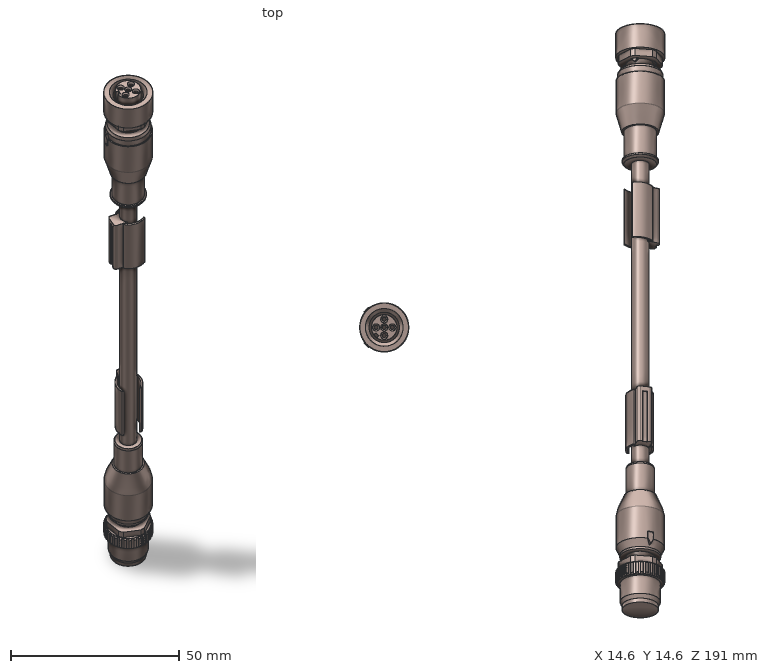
import cadquery as cq
import math

TOTAL_LENGTH = 191.0
COUPLING_R = 7.3
GRIP_R = 7.2
CABLE_R = 2.6
HEX_FLATS = 12.1
HEX_CORNER_R = 6.6
NECK_R = 4.3
OVERLAP = 0.2

NUT_TOP = 189.85
NUT_BOTTOM = 182.1
FEMALE_HEX_BOTTOM = 179.8
FEMALE_GRIP_TOP = 177.2
FEMALE_STEP = 174.3
FEMALE_CONE_TOP = 163.7
FEMALE_CONE_BOTTOM = 157.6
FEMALE_FLANGE = 148.2
FEMALE_END = 147.0
FEMALE_SLEEVE_R = 4.9
FEMALE_CONE_R = 5.5
FLANGE_R = 5.4
FLANGE_THICKNESS = 0.5
SHOULDER_R = 6.3
STEP_R = 6.8
SHOULDER_HEIGHT = 0.9

BORE_TOP_R = 5.6
BORE_R = 4.5
BORE_CHAMFER = 1.2
BORE_DEPTH = 6.5
INSERT_R = 3.8
CONTACT_CIRCLE_R = 2.4
CONTACT_R = 0.6
CONTACT_MOUTH_R = 1.05
CONTACT_DEPTH = 5.0
OUTER_CONTACTS = 4
KEY_WIDTH = 1.2
KEY_DEPTH = 0.9

MALE_END = 47.0
MALE_SLEEVE_BOTTOM = 37.4
MALE_CONE_BOTTOM = 30.8
MALE_GRIP_BOTTOM = 20.4
MALE_SHOULDER = 17.3
MALE_HEX_TOP = 15.0
RING_TOP = 12.8
RING_BOTTOM = 8.6
THREAD_END = 2.6
TIP_HEIGHT = 1.3
MALE_SLEEVE_R = 4.3
MALE_SLEEVE_CHAMFER = 0.6
MALE_CONE_R = 4.8
MALE_CONE_BULGE = 0.35
MALE_SHOULDER_R = 6.1
MALE_SHOULDER_LAND = 0.7
THREAD_R = 6.0
THREAD_TIP_R = 5.4
RING_CHAMFER = 0.5
KNURL_COUNT = 30
KNURL_DEPTH = 0.5

LUG_COUNT = 4
LUG_R = 4.9
LUG_WIDTH = 2.2
LUG_HEIGHT = 1.1

ARROW_WIDTH = 1.8
ARROW_HEIGHT = 4.0
ARROW_HEAD = 1.6
ARROW_R = 7.5
UPPER_ARROW_BASE = 171.7
LOWER_ARROW_BASE = 22.6

CLIP_LENGTH = 18.0
UPPER_CLIP_Z = 121.0
LOWER_CLIP_Z = 53.1
CLIP_REACH = 5.6
CLIP_BLOCK_WIDTH = 4.5
CLIP_CORNER_R = 0.8
CLIP_GROOVE_WIDTH = 1.4
CLIP_GROOVE_DEPTH = 0.4
CLIP_GROOVE_START = 1.5
WING_THICKNESS = 0.6
WING_ROOT = (2.9, 2.7)
WING_MIDDLE = (-0.4, 4.1)
WING_TIP = (-4.0, 3.0)

UPPER_SIDE = 225
LOWER_SIDE = 135
LOWER_CLIP_TURN = -10


def cylinder(radius, bottom, top):
    return cq.Workplane("XY").workplane(offset=bottom).circle(radius).extrude(top - bottom)


def revolve_z(outline):
    """Revolve a closed XZ outline a full turn about Z."""
    return outline.close().revolve(360, (0, 0, 0), (0, 1, 0))


def trimmed_hexagon(bottom, top):
    corner_diameter = HEX_FLATS / math.cos(math.pi / 6)
    hexagon = (
        cq.Workplane("XY").workplane(offset=bottom)
        .polygon(6, corner_diameter).extrude(top - bottom)
        .rotate((0, 0, 0), (0, 0, 1), 30)
    )
    return hexagon.intersect(cylinder(HEX_CORNER_R, bottom, top))


def make_female_grip():
    flange_bottom = FEMALE_FLANGE - FLANGE_THICKNESS
    profile = (
        cq.Workplane("XZ").moveTo(0, FEMALE_END)
        .lineTo(FEMALE_SLEEVE_R, FEMALE_END)
        .lineTo(FLANGE_R, flange_bottom)
        .lineTo(FLANGE_R, FEMALE_FLANGE)
        .lineTo(FEMALE_SLEEVE_R, FEMALE_FLANGE)
        .lineTo(FEMALE_SLEEVE_R, FEMALE_CONE_BOTTOM)
        .lineTo(FEMALE_CONE_R, FEMALE_CONE_BOTTOM)
        .lineTo(GRIP_R, FEMALE_CONE_TOP)
        .lineTo(GRIP_R, FEMALE_STEP)
        .lineTo(STEP_R, FEMALE_STEP)
        .lineTo(STEP_R, FEMALE_GRIP_TOP - SHOULDER_HEIGHT)
        .lineTo(SHOULDER_R, FEMALE_GRIP_TOP)
        .lineTo(0, FEMALE_GRIP_TOP)
    )
    return revolve_z(profile)


def make_contact_hole():
    mouth_depth = CONTACT_MOUTH_R - CONTACT_R
    floor = TOTAL_LENGTH - CONTACT_DEPTH
    return revolve_z(
        cq.Workplane("XZ").moveTo(0, floor)
        .lineTo(CONTACT_R, floor)
        .lineTo(CONTACT_R, TOTAL_LENGTH - mouth_depth)
        .lineTo(CONTACT_MOUTH_R, TOTAL_LENGTH)
        .lineTo(0, TOTAL_LENGTH)
    )


def make_socket():
    """Nut with its open bore, contact insert, hexagon and neck."""
    floor = NUT_TOP - BORE_DEPTH
    bore = revolve_z(
        cq.Workplane("XZ").moveTo(0, floor)
        .lineTo(BORE_R, floor)
        .lineTo(BORE_R, NUT_TOP - BORE_CHAMFER)
        .lineTo(BORE_TOP_R, NUT_TOP)
        .lineTo(0, NUT_TOP)
    )
    insert = cylinder(INSERT_R, floor - OVERLAP, TOTAL_LENGTH)
    contact = make_contact_hole()
    contacts = contact
    for i in range(OUTER_CONTACTS):
        outer_contact = contact.translate((CONTACT_CIRCLE_R, 0, 0))
        contacts = contacts.union(outer_contact.rotate((0, 0, 0), (0, 0, 1), i * 360 / OUTER_CONTACTS))
    key = (
        cq.Workplane("XY").box(2 * KEY_DEPTH, KEY_WIDTH, CONTACT_DEPTH)
        .translate((INSERT_R, 0, TOTAL_LENGTH - CONTACT_DEPTH / 2))
        .rotate((0, 0, 0), (0, 0, 1), UPPER_SIDE)
    )
    body = cylinder(COUPLING_R, NUT_BOTTOM, NUT_TOP).cut(bore)
    body = body.union(insert.cut(contacts).cut(key))
    body = body.union(trimmed_hexagon(FEMALE_HEX_BOTTOM, NUT_BOTTOM))
    return body.union(cylinder(NECK_R, FEMALE_GRIP_TOP, FEMALE_HEX_BOTTOM))


def make_lugs():
    """V-shaped lugs that hang below the female hexagon around the neck."""
    lugs = cq.Workplane("XY")
    for i in range(LUG_COUNT):
        lug = (
            cq.Workplane("YZ")
            .moveTo(-LUG_WIDTH / 2, FEMALE_HEX_BOTTOM)
            .lineTo(LUG_WIDTH / 2, FEMALE_HEX_BOTTOM)
            .lineTo(0, FEMALE_HEX_BOTTOM - LUG_HEIGHT)
            .close().extrude(LUG_R)
        )
        lugs = lugs.add(lug.rotate((0, 0, 0), (0, 0, 1), i * 360 / LUG_COUNT))
    return lugs.combine()


def make_male_grip():
    cone_middle_r = (MALE_CONE_R + GRIP_R) / 2 + MALE_CONE_BULGE
    cone_middle_z = (MALE_SLEEVE_BOTTOM + MALE_CONE_BOTTOM) / 2
    profile = (
        cq.Workplane("XZ").moveTo(0, MALE_END)
        .lineTo(MALE_SLEEVE_R - MALE_SLEEVE_CHAMFER / 2, MALE_END)
        .lineTo(MALE_SLEEVE_R, MALE_END - MALE_SLEEVE_CHAMFER)
        .lineTo(MALE_SLEEVE_R, MALE_SLEEVE_BOTTOM)
        .lineTo(MALE_CONE_R, MALE_SLEEVE_BOTTOM)
        .threePointArc((cone_middle_r, cone_middle_z), (GRIP_R, MALE_CONE_BOTTOM))
        .lineTo(GRIP_R, MALE_GRIP_BOTTOM)
        .lineTo(MALE_SHOULDER_R, MALE_SHOULDER + MALE_SHOULDER_LAND)
        .lineTo(MALE_SHOULDER_R, MALE_SHOULDER)
        .lineTo(0, MALE_SHOULDER)
    )
    return revolve_z(profile)


def make_plug():
    """Neck, hexagon, knurled ring and threaded end of the male connector."""
    thread = revolve_z(
        cq.Workplane("XZ").lineTo(THREAD_TIP_R, 0)
        .lineTo(THREAD_TIP_R, TIP_HEIGHT)
        .lineTo(THREAD_R, THREAD_END)
        .lineTo(THREAD_R, RING_BOTTOM)
        .lineTo(0, RING_BOTTOM)
    )
    ring = cylinder(COUPLING_R, RING_BOTTOM, RING_TOP).faces("<Z or >Z").chamfer(RING_CHAMFER)
    groove_side = KNURL_DEPTH * math.sqrt(2)
    grooves = (
        cq.Workplane("XY").workplane(offset=RING_BOTTOM)
        .polarArray(COUPLING_R, 0, 360, KNURL_COUNT)
        .rect(groove_side, groove_side).extrude(RING_TOP - RING_BOTTOM)
    )
    neck = cylinder(NECK_R, MALE_HEX_TOP, MALE_SHOULDER)
    body = thread.union(ring.cut(grooves))
    return body.union(trimmed_hexagon(RING_TOP, MALE_HEX_TOP)).union(neck)


def make_arrow(base, direction, side):
    """Raised arrow on a grip; direction +1 points up, -1 points down."""
    neck_z = base + direction * (ARROW_HEIGHT - ARROW_HEAD)
    tip_z = base + direction * ARROW_HEIGHT
    half_width = ARROW_WIDTH / 2
    arrow = (
        cq.Workplane("YZ")
        .moveTo(-half_width, base).lineTo(half_width, base)
        .lineTo(half_width, neck_z).lineTo(0, tip_z).lineTo(-half_width, neck_z)
        .close().extrude(ARROW_R)
    )
    return arrow.rotate((0, 0, 0), (0, 0, 1), side)


def make_wing():
    inner_root, inner_middle, inner_tip = [
        (along, across - WING_THICKNESS)
        for along, across in (WING_ROOT, WING_MIDDLE, WING_TIP)
    ]
    return (
        cq.Workplane("XY").moveTo(*WING_ROOT)
        .threePointArc(WING_MIDDLE, WING_TIP)
        .lineTo(*inner_tip)
        .threePointArc(inner_middle, inner_root)
        .close().extrude(CLIP_LENGTH)
    )


def make_clip(bottom, side):
    """Label clip: a grooved block on the cable with two curved wings, open at the back."""
    block = (
        cq.Workplane("XY").rect(CLIP_REACH, CLIP_BLOCK_WIDTH).extrude(CLIP_LENGTH)
        .translate((CLIP_REACH / 2, 0, 0))
        .edges("|Z and >X").fillet(CLIP_CORNER_R)
    )
    groove_length = CLIP_LENGTH - CLIP_GROOVE_START
    groove = (
        cq.Workplane("XY").rect(2 * CLIP_GROOVE_DEPTH, CLIP_GROOVE_WIDTH).extrude(groove_length)
        .translate((CLIP_REACH, 0, 0))
    )
    wing = make_wing()
    clip = block.cut(groove).union(wing).union(wing.mirror("XZ"))
    return clip.rotate((0, 0, 0), (0, 0, 1), side).translate((0, 0, bottom))


cable = cylinder(CABLE_R, MALE_END - OVERLAP, FEMALE_END + OVERLAP)
parts = [
    make_female_grip(),
    make_socket(),
    make_lugs(),
    make_male_grip(),
    make_plug(),
    make_arrow(UPPER_ARROW_BASE, 1, UPPER_SIDE),
    make_arrow(LOWER_ARROW_BASE, -1, LOWER_SIDE),
    make_clip(UPPER_CLIP_Z, UPPER_SIDE),
    make_clip(LOWER_CLIP_Z, LOWER_SIDE + LOWER_CLIP_TURN),
]
result = cable
for part in parts:
    result = result.union(part)